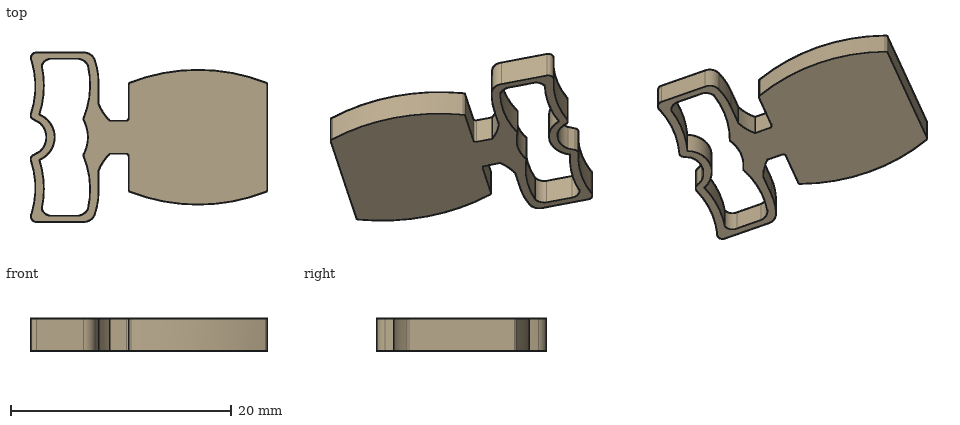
import cadquery as cq

length = 21.52
width = 15.4
thickness = 3.0
half_width = width / 2

notch_bottom_x = 1.42
wall = 0.8
finger_x = 0.43
finger_y = 4.52
handle_back_x = 6.2
slot_half_width = 7.12
slot_finger_x = finger_x + wall
slot_back_x = handle_back_x - wall
slot_middle_back_x = 5.2

neck_half_width = 1.5
blade_start_x = 8.9
blade_half_width = 6.13
blade_corner_y = 5.0
blade_corner_inset = 0.2
blade_crown_x = (blade_start_x + length) / 2
neck_fillet = 0.22
arc_bulge = 0.06


def upper_half(start_x, draw_path):
    """Solid above the X axis, bounded by a path that starts and ends on the axis."""
    path = draw_path(cq.Workplane("XY").moveTo(start_x, 0))
    return path.close().extrude(thickness)


def both_halves(half):
    """Join a half with its mirror image across the XZ plane."""
    return half.union(half.mirror("XZ")).clean()


def outer_path(path):
    path = path.threePointArc((1.27, 0.7), (0.85, 1.3)).lineTo(0.25, 1.61)
    path = path.threePointArc((0.05, 1.83), (0.02, 2.09))
    path = path.threePointArc((finger_x, finger_y), (0.09, 6.95))
    path = path.threePointArc((0.17, 7.55), (0.52, half_width)).lineTo(4.8, half_width)
    path = path.threePointArc((5.47, 7.5), (5.85, 7.0))
    path = path.threePointArc((6.11, 5.96), (handle_back_x, 4.9)).lineTo(handle_back_x, 3.01)
    path = path.threePointArc((6.6, 2.24), (7.2, neck_half_width))
    path = path.lineTo(blade_start_x - neck_fillet, neck_half_width)
    path = path.threePointArc(
        (blade_start_x - arc_bulge, neck_half_width + arc_bulge),
        (blade_start_x, neck_half_width + neck_fillet),
    )
    blade_side_y = blade_corner_y - blade_corner_inset
    path = path.lineTo(blade_start_x, blade_side_y)
    path = path.threePointArc(
        (blade_start_x + arc_bulge, blade_corner_y - arc_bulge),
        (blade_start_x + blade_corner_inset, blade_corner_y),
    )
    path = path.threePointArc(
        (blade_crown_x, blade_half_width), (length - blade_corner_inset, blade_corner_y)
    )
    path = path.threePointArc(
        (length - arc_bulge, blade_corner_y - arc_bulge), (length, blade_side_y)
    )
    return path.lineTo(length, 0)


def slot_path(path):
    path = path.threePointArc((1.83, 1.23), (0.82, 2.07))
    path = path.threePointArc((slot_finger_x, finger_y), (1.03, 6.52))
    path = path.threePointArc((1.35, 6.95), (1.94, slot_half_width))
    path = path.lineTo(4.3, slot_half_width)
    path = path.threePointArc((4.9, 6.89), (5.2, 6.52))
    path = path.threePointArc((slot_back_x, finger_y), (4.78, 1.64))
    return path.threePointArc((5.1, 0.82), (slot_middle_back_x, 0))


body = both_halves(upper_half(notch_bottom_x, outer_path))
slot = both_halves(upper_half(notch_bottom_x + wall, slot_path))
result = body.cut(slot)